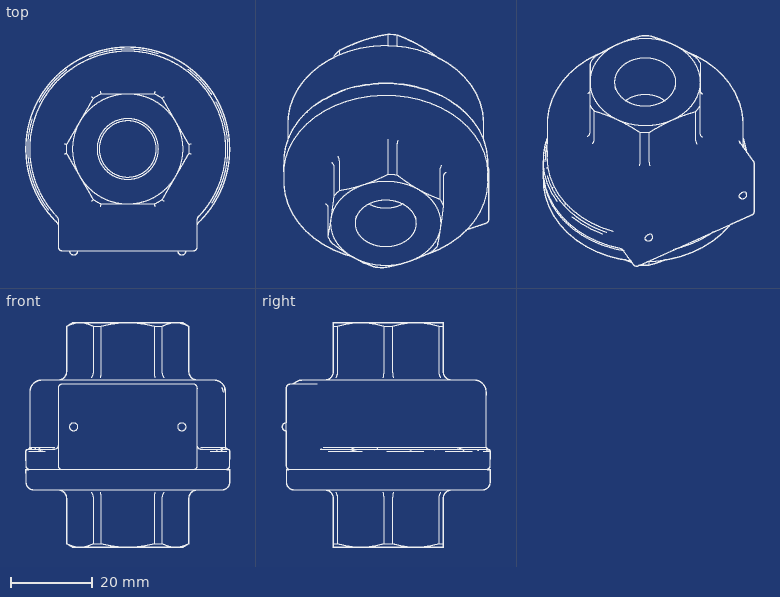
import cadquery as cq
import math

HEX_HEIGHT = 14.0
FLANGE_HEIGHT = 5.0
BODY_HEIGHT = 17.0
FLANGE_BOTTOM = HEX_HEIGHT
SEAM = FLANGE_BOTTOM + FLANGE_HEIGHT
SHOULDER = SEAM + FLANGE_HEIGHT
BODY_TOP = SHOULDER + BODY_HEIGHT
TOTAL_HEIGHT = BODY_TOP + HEX_HEIGHT

FLANGE_RADIUS = 25.0
BODY_RADIUS = 24.0
BODY_TOP_FILLET = 3.0
LOWER_FLANGE_FILLET = 2.0
SEAM_FILLET = 1.0
SHOULDER_FILLET = 0.49

BLOCK_HALF_WIDTH = 17.0
BLOCK_FACE_Y = -FLANGE_RADIUS
BLOCK_TOP = BODY_TOP - 1.0
BLOCK_EDGE_FILLET = 1.0
BLOCK_ROOT_FILLET = 1.0

PIN_RADIUS = 1.0
PIN_SPACING = 26.5
PIN_Z = (SEAM + BLOCK_TOP) / 2

ACROSS_FLATS = 27.0
FLAT_RADIUS = ACROSS_FLATS / 2
CORNER_DISTANCE = FLAT_RADIUS / math.cos(math.radians(30))
HEX_TURNED_RADIUS = 15.0
HEX_CHAMFER_ANGLE = 30.0
HEX_BASE_FILLET = 2.0

PORT_MOUTH_RADIUS = 14.95 / 2
PORT_BORE_RADIUS = 13.89 / 2
PORT_TAPER_DEPTH = 8.8
PORT_DEPTH = HEX_HEIGHT

TOLERANCE = 0.001


def at_height(z):
    """Horizontal workplane at height z, centred on the axis."""
    return cq.Workplane("XY").workplane(offset=z)


def pick_edges(part, wanted):
    """Select the edges of a part for which the test function holds."""
    return part.newObject([edge for edge in part.edges().vals() if wanted(edge)])


def lower_flange():
    """Closing flange with a rounded lower edge."""
    disc = at_height(FLANGE_BOTTOM).circle(FLANGE_RADIUS).extrude(FLANGE_HEIGHT)
    return disc.faces("<Z").edges().fillet(LOWER_FLANGE_FILLET)


def raw_upper_body():
    """Upper flange, body and block before the edges around the block are rounded."""
    flange_meets_block_y = -math.sqrt(FLANGE_RADIUS**2 - BLOCK_HALF_WIDTH**2)
    flange = (
        at_height(SEAM)
        .moveTo(-BLOCK_HALF_WIDTH, flange_meets_block_y)
        .lineTo(-BLOCK_HALF_WIDTH, BLOCK_FACE_Y)
        .lineTo(BLOCK_HALF_WIDTH, BLOCK_FACE_Y)
        .lineTo(BLOCK_HALF_WIDTH, flange_meets_block_y)
        .threePointArc((0, FLANGE_RADIUS), (-BLOCK_HALF_WIDTH, flange_meets_block_y))
        .close()
        .extrude(FLANGE_HEIGHT)
    )
    barrel = at_height(SHOULDER).circle(BODY_RADIUS).extrude(BODY_HEIGHT)
    barrel = barrel.faces(">Z").edges().fillet(BODY_TOP_FILLET)
    block = (
        at_height(SHOULDER)
        .center(0, BLOCK_FACE_Y / 2)
        .rect(2 * BLOCK_HALF_WIDTH, abs(BLOCK_FACE_Y))
        .extrude(BLOCK_TOP - SHOULDER)
    )
    return barrel.union(flange).union(block)


def is_block_root(edge):
    """True for the inner corners where the block sides and top meet the round body."""

    def on_side(point):
        in_side_plane = abs(abs(point.x) - BLOCK_HALF_WIDTH) < TOLERANCE
        return in_side_plane and point.y > BLOCK_FACE_Y + BLOCK_EDGE_FILLET

    start = edge.startPoint()
    end = edge.endPoint()
    along_side = on_side(start) and on_side(end) and start.x * end.x > 0
    along_top = edge.geomType() == "CIRCLE" and abs(edge.Center().z - BLOCK_TOP) < TOLERANCE
    return along_side or along_top


def is_block_outer_edge(edge):
    """True for the straight outer edges of the block, except those at the seam."""
    touches_face = min(edge.startPoint().y, edge.endPoint().y) < BLOCK_FACE_Y + TOLERANCE
    return edge.geomType() == "LINE" and touches_face and edge.Center().z > SHOULDER


def is_shoulder_edge(edge):
    """True for the inner and outer arcs of the step between flange and body."""
    at_shoulder = abs(edge.Center().z - SHOULDER) < TOLERANCE
    return edge.geomType() == "CIRCLE" and at_shoulder and edge.Length() > 2 * BODY_RADIUS


def upper_body():
    """Upper flange, body and block with all of their rounded edges."""
    body = raw_upper_body()
    body = pick_edges(body, is_block_outer_edge).fillet(BLOCK_EDGE_FILLET)
    body = pick_edges(body, is_block_root).fillet(BLOCK_ROOT_FILLET)
    body = body.faces("<Z").edges().fillet(SEAM_FILLET)
    return pick_edges(body, is_shoulder_edge).fillet(SHOULDER_FILLET)


def pins():
    """Two half-round pin heads on the block face."""
    places = [(side * PIN_SPACING / 2, BLOCK_FACE_Y, PIN_Z) for side in (-1, 1)]
    return cq.Workplane("XY").pushPoints(places).sphere(PIN_RADIUS)


def hex_prism():
    """Upper hexagon with turned corners and a chamfered rim, corners along X."""
    angles = [math.radians(60 * corner) for corner in range(6)]
    corners = [(CORNER_DISTANCE * math.cos(a), CORNER_DISTANCE * math.sin(a)) for a in angles]
    hexagon = at_height(BODY_TOP).polyline(corners).close().extrude(HEX_HEIGHT)
    chamfer_drop = (HEX_TURNED_RADIUS - FLAT_RADIUS) * math.tan(math.radians(HEX_CHAMFER_ANGLE))
    turned = (
        cq.Workplane("XZ")
        .moveTo(0, BODY_TOP)
        .lineTo(HEX_TURNED_RADIUS, BODY_TOP)
        .lineTo(HEX_TURNED_RADIUS, TOTAL_HEIGHT - chamfer_drop)
        .lineTo(FLAT_RADIUS, TOTAL_HEIGHT)
        .lineTo(0, TOTAL_HEIGHT)
        .close()
        .revolve(360, (0, 0, 0), (0, 1, 0))
    )
    return hexagon.intersect(turned)


def hex_end():
    """Upper hexagon on a thin round base, blended together by a fillet."""
    base_radius = BODY_RADIUS - BODY_TOP_FILLET
    base_thickness = HEX_BASE_FILLET
    base = at_height(BODY_TOP - base_thickness).circle(base_radius).extrude(base_thickness)
    end = base.union(hex_prism())
    ledge = end.faces("+Z").faces("<Z").val()
    return end.newObject(ledge.innerWires()[0].Edges()).fillet(HEX_BASE_FILLET)


def port():
    """Upper port cavity, centred on the axis."""
    return (
        cq.Workplane("XZ")
        .moveTo(0, TOTAL_HEIGHT)
        .lineTo(PORT_MOUTH_RADIUS, TOTAL_HEIGHT)
        .lineTo(PORT_BORE_RADIUS, TOTAL_HEIGHT - PORT_TAPER_DEPTH)
        .lineTo(PORT_BORE_RADIUS, TOTAL_HEIGHT - PORT_DEPTH)
        .lineTo(0, TOTAL_HEIGHT - PORT_DEPTH)
        .close()
        .revolve(360, (0, 0, 0), (0, 1, 0))
    )


def mirrored_below(shape):
    """Copy of an upper end feature, mirrored to the lower end."""
    return shape.mirror("XY", (0, 0, TOTAL_HEIGHT / 2))


upper_end = hex_end()
upper_port = port()

result = (
    upper_body()
    .union(lower_flange())
    .union(pins())
    .union(upper_end)
    .union(mirrored_below(upper_end))
    .cut(upper_port)
    .cut(mirrored_below(upper_port))
)